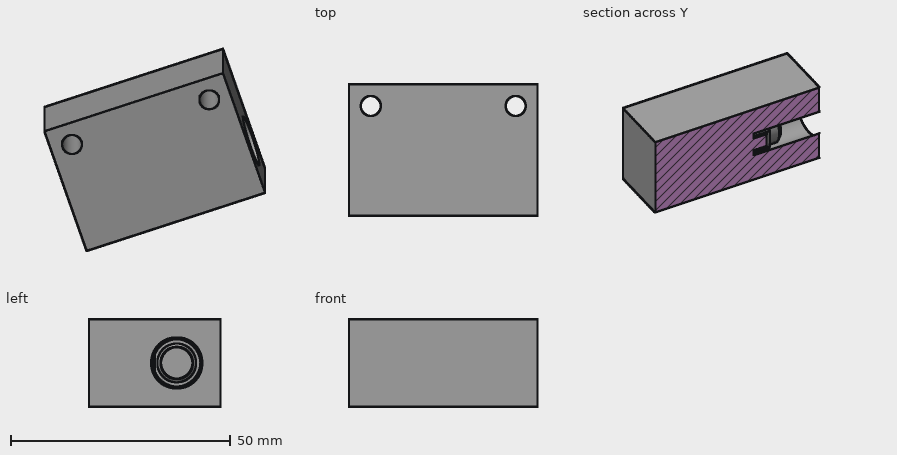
import cadquery as cq

length = 43.0
width = 30.0
height = 20.0

mount_diameter = 4.5
mount_inset = 5.0

socket_radius = 5.85
socket_depth = 17.2
socket_y = (height - width) / 2

collar_radius = 5.38
collar_length = 4.3
collar_flat_offset = 4.9
key_width = 3.53
wall_key_length = 2.15
tongue_length = 3.45
nose_radius = 4.45
nose_length = 3.45
nose_chamfer = 0.75
tip_radius = 3.55
tip_length = 0.2

socket_floor_x = socket_depth - length / 2
collar_face_x = socket_floor_x - collar_length


def rod(radius, start_x, rod_length):
    """Cylinder on the socket axis, running from start_x towards -X."""
    return (
        cq.Workplane("YZ", origin=(start_x, socket_y, 0))
        .circle(radius)
        .extrude(-rod_length)
    )


def make_body():
    hole_y = width / 2 - mount_inset
    hole_x = length / 2 - mount_inset
    return (
        cq.Workplane("XY")
        .box(length, width, height)
        .faces(">Z")
        .workplane(origin=(0, 0, 0))
        .pushPoints([(-hole_x, hole_y), (hole_x, hole_y)])
        .hole(mount_diameter)
    )


def make_collar():
    """Collar with a flat on its +Y side."""
    collar = rod(collar_radius, socket_floor_x, collar_length)
    flat_cutter = cq.Workplane("XY").box(
        collar_length, collar_radius, 2 * collar_radius, centered=(False, False, True)
    ).translate((collar_face_x, socket_y + collar_flat_offset, 0))
    return collar.cut(flat_cutter)


def make_key(outer_radius, key_length):
    """Key against the collar flat, rounded to outer_radius on its +Y side."""
    key_block = cq.Workplane("XY").box(
        key_length, outer_radius, key_width, centered=(False, False, True)
    ).translate((socket_floor_x - key_length, socket_y, 0))
    return key_block.intersect(rod(outer_radius, socket_floor_x, key_length))


def make_nose():
    """Chamfered nose with a slightly narrower tip."""
    nose = rod(nose_radius, collar_face_x, nose_length).faces("<X").chamfer(nose_chamfer)
    return nose.union(rod(tip_radius, collar_face_x - nose_length, tip_length))


result = (
    make_body()
    .cut(rod(socket_radius, socket_floor_x, socket_depth))
    .union(make_collar())
    .union(make_key(socket_radius, wall_key_length))
    .union(make_key(collar_radius, tongue_length))
    .union(make_nose())
)